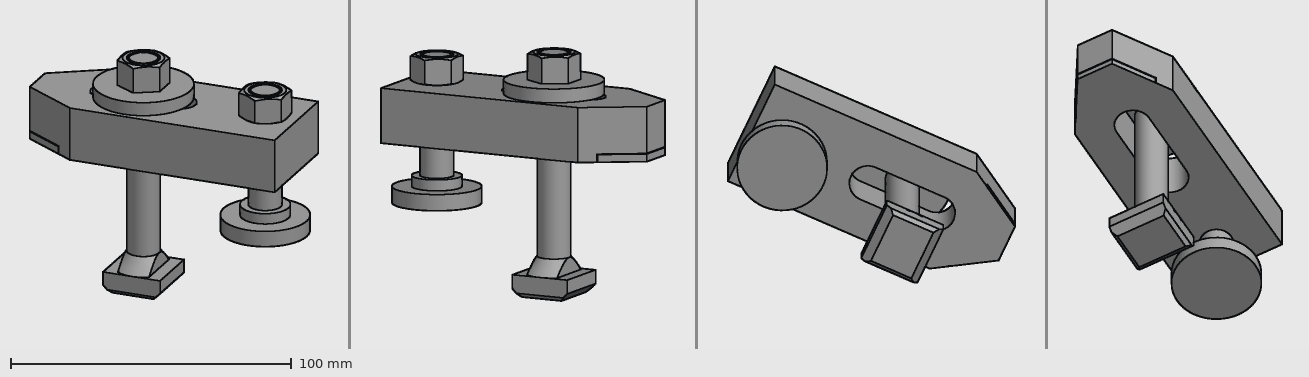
import cadquery as cq
import math


ARM_LENGTH = 100.0
ARM_WIDTH = 40.0
ARM_HEIGHT = 20.0
NOSE_WIDTH = 14.0
NOSE_LENGTH = 21.0
SLOT_LENGTH = 40.0
SLOT_WIDTH = 13.2

PAD_LENGTH = 15.0
PAD_HEIGHT = 2.8
GROOVE_WIDTH = 0.2
GROOVE_DEPTH = 0.1

BOLT_X = 41.0
BOLT_TO_STUD = 47.0
STUD_X = BOLT_X + BOLT_TO_STUD
SHANK_DIAMETER = 12.1
THREAD_DIAMETER = 11.1
TIP_CHAMFER = 0.4

NUT_WIDTH = 16.4
NUT_HEIGHT = 10.0
NUT_FACE_DIAMETER = 15.0
NUT_CHAMFER_ANGLE = 20
COUNTERSINK_DIAMETER = 12.0
BOLT_NUT_COUNTERSINK_DEPTH = 0.4
STUD_NUT_COUNTERSINK_DEPTH = 0.26

WASHER_DIAMETER = 36.0
WASHER_THICKNESS = 5.0
WASHER_TOP = ARM_HEIGHT + WASHER_THICKNESS

HEAD_WIDTH = 22.0
HEAD_HEIGHT = 8.1
HEAD_END_CHAMFER = 3.1
HEAD_SIDE_CHAMFER = 1.6
NECK_HEIGHT = 5.9
BOLT_BOTTOM = -53

FOOT_DIAMETER = 32.0
FOOT_HEIGHT = 5.9
COLLAR_DIAMETER = 18.0
COLLAR_HEIGHT = 4.0
STUD_BOTTOM = -23.8


def cylinder(diameter, bottom, top, x):
    """Upright cylinder between two heights, with its axis at `x`."""
    return cq.Workplane("XY", origin=(x, 0, bottom)).circle(diameter / 2).extrude(top - bottom)


def arm_outline():
    """Outline of the arm seen from above."""
    return (
        cq.Workplane("XY")
        .moveTo(0, -NOSE_WIDTH / 2)
        .lineTo(NOSE_LENGTH, -ARM_WIDTH / 2)
        .lineTo(ARM_LENGTH, -ARM_WIDTH / 2)
        .lineTo(ARM_LENGTH, ARM_WIDTH / 2)
        .lineTo(NOSE_LENGTH, ARM_WIDTH / 2)
        .lineTo(0, NOSE_WIDTH / 2)
        .close()
    )


def nose_block(length, height):
    """Full-width block from the nose tip and the underside, `length` long and `height` high."""
    return cq.Workplane("XY").box(length, ARM_WIDTH, height, centered=(False, True, False))


def make_pad_groove():
    """Shallow groove around the pad, cut into the three nose faces."""
    band = nose_block(PAD_LENGTH + GROOVE_WIDTH, PAD_HEIGHT + GROOVE_WIDTH)
    band = band.cut(nose_block(PAD_LENGTH, PAD_HEIGHT))
    core = arm_outline().offset2D(-GROOVE_DEPTH).extrude(ARM_HEIGHT)
    return band.cut(core)


def make_arm():
    arm = arm_outline().extrude(ARM_HEIGHT)
    slot = cq.Workplane("XY").center(BOLT_X, 0).slot2D(SLOT_LENGTH, SLOT_WIDTH).extrude(ARM_HEIGHT)
    stud_hole = cylinder(SHANK_DIAMETER, 0, ARM_HEIGHT, STUD_X)
    return arm.cut(slot).cut(stud_hole).cut(make_pad_groove())


def make_washer():
    disc = cylinder(WASHER_DIAMETER, ARM_HEIGHT, WASHER_TOP, BOLT_X)
    return disc.cut(cylinder(SHANK_DIAMETER, ARM_HEIGHT, WASHER_TOP, BOLT_X))


def make_nut(x, bottom, countersink_depth, chamfer_bottom):
    """Hexagon nut with a corner facing +Y; the top is always chamfered, the bottom on request."""
    top = bottom + NUT_HEIGHT
    corner_radius = NUT_WIDTH / 2 / math.cos(math.pi / 6)
    face_radius = NUT_FACE_DIAMETER / 2
    drop = (corner_radius - face_radius) * math.tan(math.radians(NUT_CHAMFER_ANGLE))

    profile = [(0, top), (face_radius, top), (corner_radius, top - drop)]
    if chamfer_bottom:
        profile += [(corner_radius, bottom + drop), (face_radius, bottom), (0, bottom)]
    else:
        profile += [(corner_radius, bottom), (0, bottom)]
    blank = cq.Workplane("XZ", origin=(x, 0, 0)).polyline(profile).close().revolve()

    hexagon = (
        cq.Workplane("XY", origin=(x, 0, bottom))
        .transformed(rotate=(0, 0, 30))
        .polygon(6, 2 * corner_radius)
        .extrude(NUT_HEIGHT)
    )
    countersink = cq.Solid.makeCone(
        THREAD_DIAMETER / 2,
        COUNTERSINK_DIAMETER / 2,
        countersink_depth,
        cq.Vector(x, 0, top - countersink_depth),
    )
    return hexagon.intersect(blank).cut(cylinder(THREAD_DIAMETER, bottom, top, x)).cut(countersink)


def make_shank(x, bottom, nut_seat):
    """Plain shank up to the nut, then the slimmer threaded end that fills the nut."""
    shank = cylinder(SHANK_DIAMETER, bottom, nut_seat, x)
    thread = cylinder(THREAD_DIAMETER, nut_seat, nut_seat + NUT_HEIGHT, x).faces(">Z").chamfer(TIP_CHAMFER)
    return shank.union(thread)


def make_bolt():
    head_top = BOLT_BOTTOM + HEAD_HEIGHT
    head = (
        cq.Workplane("XY", origin=(BOLT_X, 0, BOLT_BOTTOM))
        .rect(HEAD_WIDTH, HEAD_WIDTH)
        .extrude(HEAD_HEIGHT)
        .faces("<Z").edges("|Y").chamfer(HEAD_END_CHAMFER)
        .faces("<Z").edges("|X").chamfer(HEAD_SIDE_CHAMFER)
    )
    cone = cq.Solid.makeCone(
        HEAD_WIDTH / 2, SHANK_DIAMETER / 2, NECK_HEIGHT, cq.Vector(BOLT_X, 0, head_top)
    )
    between_flats = (
        cq.Workplane("XY", origin=(BOLT_X, 0, head_top))
        .rect(SHANK_DIAMETER, HEAD_WIDTH)
        .extrude(NECK_HEIGHT)
    )
    shank = make_shank(BOLT_X, head_top + NECK_HEIGHT, WASHER_TOP)
    return head.union(between_flats.intersect(cq.Workplane(cone))).union(shank)


def make_stud():
    foot_top = STUD_BOTTOM + FOOT_HEIGHT
    collar_top = foot_top + COLLAR_HEIGHT
    foot = cylinder(FOOT_DIAMETER, STUD_BOTTOM, foot_top, STUD_X)
    collar = cylinder(COLLAR_DIAMETER, foot_top, collar_top, STUD_X)
    shank = make_shank(STUD_X, collar_top, ARM_HEIGHT)
    return foot.union(collar).union(shank)


arm = make_arm()
washer = make_washer()
nuts = [
    make_nut(x, seat, countersink_depth, chamfer_bottom)
    for x, seat, countersink_depth, chamfer_bottom in [
        (BOLT_X, WASHER_TOP, BOLT_NUT_COUNTERSINK_DEPTH, False),
        (STUD_X, ARM_HEIGHT, STUD_NUT_COUNTERSINK_DEPTH, True),
    ]
]
bolt = make_bolt()
stud = make_stud()

result = cq.Compound.makeCompound(
    [arm.val(), washer.val(), *[nut.val() for nut in nuts], bolt.val(), stud.val()]
)